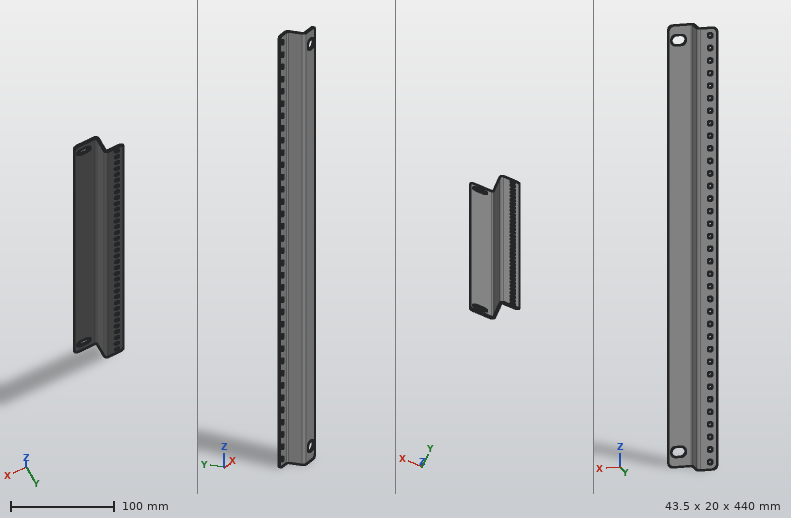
import cadquery as cq

length = 440.0
width = 43.5
depth = 20.0
thickness = 1.5
inner_bend_radius = thickness
outer_bend_radius = inner_bend_radius + thickness
corner_radius = 5.0

left, right = -width / 2, width / 2
front, rear = -depth / 2, depth / 2

rear_flange_width = 20.0
web_right = left + rear_flange_width
web_left = web_right - thickness
rear_flange_inside = rear - thickness
front_flange_inside = front + thickness

hole_count = 35
hole_pitch = 12.5
hole_diameter = 4.5
hole_edge_distance = 7.0

slot_length = 14.5
slot_height = 10.0
slot_edge_distance = 10.0
slot_end_distance = 15.0
slot_spacing = length - 2 * slot_end_distance


def round_upright_edges(body, points, radius):
    """Round the vertical edges that pass through the given (x, y) points."""
    for x, y in points:
        edge = cq.selectors.NearestToPointSelector((x, y, 0))
        body = body.edges(edge).fillet(radius)
    return body


def make_bent_sheet():
    """Z profile extruded to the full length, with rounded bends."""
    outline = [
        (left, rear),
        (web_right, rear),
        (web_right, front_flange_inside),
        (right, front_flange_inside),
        (right, front),
        (web_left, front),
        (web_left, rear_flange_inside),
        (left, rear_flange_inside),
    ]
    sheet = cq.Workplane("XY").polyline(outline).close().extrude(length / 2, both=True)
    outer_bends = [(web_right, rear), (web_left, front)]
    inner_bends = [(web_left, rear_flange_inside), (web_right, front_flange_inside)]
    sheet = round_upright_edges(sheet, outer_bends, outer_bend_radius)
    return round_upright_edges(sheet, inner_bends, inner_bend_radius)


def make_hole_row():
    """Cutters for the evenly spaced holes of the rear flange."""
    return (
        cq.Workplane("XZ")
        .center(left + hole_edge_distance, 0)
        .rarray(4.5, hole_pitch, 1, hole_count)
        .circle(hole_diameter / 2)
        .extrude(depth, both=True)
    )


def make_slots():
    """Cutters for the two mounting slots of the front flange."""
    return (
        cq.Workplane("XZ")
        .center(right - slot_edge_distance, 0)
        .rarray(4.5, slot_spacing, 1, 2)
        .slot2D(slot_length, slot_height)
        .extrude(depth, both=True)
    )


rail = make_bent_sheet()
rail = rail.faces("<X or >X").edges("|Y").fillet(corner_radius)
result = rail.cut(make_hole_row()).cut(make_slots())